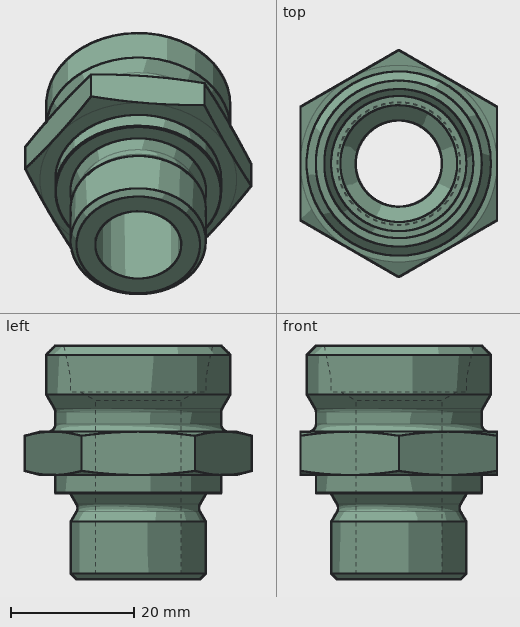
import cadquery as cq
import math

total_height = 38.0
across_flats = 32.0

hex_bottom = 17.0
hex_top = 24.0
hex_chamfer_angle = 15.0

collar_radius = 30.0 / 2
neck_radius = 27.0 / 2
collar_chamfer = collar_radius - neck_radius
collar_bottom = 30.1

flange_bottom = 13.95
flange_edge_height = 0.23
flange_edge_width = 0.1
stud_radius = 22.0 / 2
stud_top = 9.4
stud_chamfer = 0.95
relief_middle = 11.63

cone_angle = 30.0
blend_radius = 1.2

bore_radius = 14.0 / 2
seat_radius = 9.5
seat_depth = 1.4
socket_radius = 22.0 / 2
socket_floor = 30.5
taper_bottom = 32.68
taper_angle = 12.0

cone_slope = math.tan(math.radians(cone_angle))
arc_height = blend_radius * math.sin(math.radians(cone_angle))
arc_depth = blend_radius * (1 - math.cos(math.radians(cone_angle)))


def make_turned_body():
    """Solid outside shape of revolution, without the hexagon."""
    relief_low = relief_middle - arc_height
    relief_high = relief_middle + arc_height
    relief_edge_radius = stud_radius - (relief_low - stud_top) * cone_slope
    relief_radius = relief_edge_radius - arc_depth
    relief_mouth_radius = relief_edge_radius + (flange_bottom - relief_high) * cone_slope

    cone_end_radius = neck_radius + arc_depth
    cone_end = collar_bottom - (collar_radius - cone_end_radius) / cone_slope
    neck_top = cone_end - arc_height

    return (
        cq.Workplane("XZ")
        .lineTo(stud_radius - stud_chamfer, 0)
        .lineTo(stud_radius, stud_chamfer)
        .lineTo(stud_radius, stud_top)
        .lineTo(relief_edge_radius, relief_low)
        .threePointArc((relief_radius, relief_middle), (relief_edge_radius, relief_high))
        .lineTo(relief_mouth_radius, flange_bottom)
        .lineTo(neck_radius - flange_edge_width, flange_bottom)
        .lineTo(neck_radius, flange_bottom + flange_edge_height)
        .lineTo(neck_radius, hex_top)
        .lineTo(neck_radius + blend_radius, hex_top)
        .radiusArc((neck_radius, hex_top + blend_radius), blend_radius)
        .lineTo(neck_radius, neck_top)
        .tangentArcPoint((cone_end_radius, cone_end), relative=False)
        .lineTo(collar_radius, collar_bottom)
        .lineTo(collar_radius, total_height - collar_chamfer)
        .lineTo(collar_radius - collar_chamfer, total_height)
        .lineTo(0, total_height)
        .close()
        .revolve(360, (0, 0), (0, 1))
    )


def make_hexagon():
    """Hexagon with corners on the Y axis, bevelled conically at both ends."""
    flat_radius = across_flats / 2
    corner_radius = flat_radius / math.cos(math.pi / 6)
    bevel_drop = (corner_radius - flat_radius) * math.tan(math.radians(hex_chamfer_angle))
    prism = (
        cq.Workplane("XY", origin=(0, 0, hex_bottom))
        .transformed(rotate=(0, 0, 90))
        .polygon(6, 2 * corner_radius)
        .extrude(hex_top - hex_bottom)
    )
    bevel_limit = (
        cq.Workplane("XZ")
        .moveTo(0, hex_bottom)
        .lineTo(flat_radius, hex_bottom)
        .lineTo(corner_radius, hex_bottom + bevel_drop)
        .lineTo(corner_radius, hex_top - bevel_drop)
        .lineTo(flat_radius, hex_top)
        .lineTo(0, hex_top)
        .close()
        .revolve(360, (0, 0), (0, 1))
    )
    return prism.intersect(bevel_limit)


def make_bore():
    """Through bore, conical seat and tapered socket as one cutting body."""
    taper_height = total_height - taper_bottom
    mouth_radius = socket_radius + taper_height * math.tan(math.radians(taper_angle))
    return (
        cq.Workplane("XZ")
        .lineTo(bore_radius, 0)
        .lineTo(bore_radius, socket_floor - seat_depth)
        .lineTo(seat_radius, socket_floor)
        .lineTo(socket_radius, socket_floor)
        .lineTo(socket_radius, taper_bottom)
        .lineTo(mouth_radius, total_height)
        .lineTo(0, total_height)
        .close()
        .revolve(360, (0, 0), (0, 1))
    )


result = make_turned_body().union(make_hexagon()).cut(make_bore())